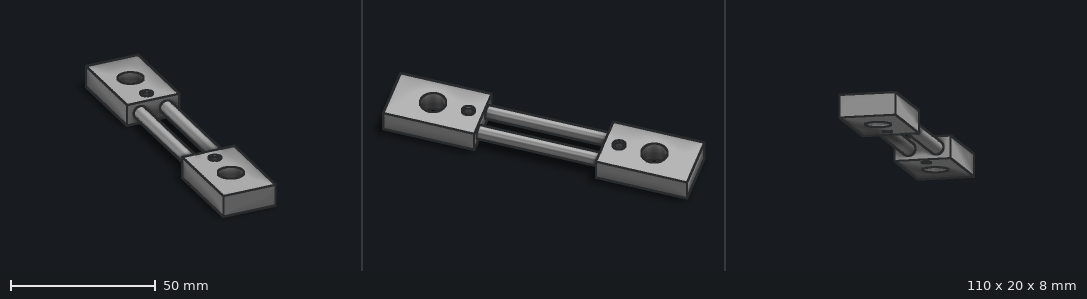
import cadquery as cq

length = 110.0
width = 20.0
thickness = 8.0

block_length = 33.0
rod_diameter = 5.0
rod_spacing = width / 2

main_hole_diameter = 9.0
main_hole_inset = 15.0
small_hole_diameter = 3.3
small_hole_inset = 27.7
chamfer_diameter = 4.5

block_center_x = (length - block_length) / 2
rod_length = length - 2 * block_length
chamfer_angle = 90


def end_block(side):
    """Drilled block at the -X end (side = -1) or the +X end (side = 1)."""
    main_offset = side * (block_length / 2 - main_hole_inset)
    small_offset = side * (block_length / 2 - small_hole_inset)
    block = cq.Workplane("XY").box(block_length, width, thickness)
    block = block.faces(">Z").workplane(origin=(main_offset, 0, 0)).hole(main_hole_diameter)
    block = block.faces(">Z").workplane(origin=(small_offset, 0, 0))
    block = block.cskHole(small_hole_diameter, chamfer_diameter, chamfer_angle)
    return block.translate((side * block_center_x, 0, 0))


def rod(y):
    """Round rod between the inner faces of the blocks."""
    plane = cq.Workplane("YZ").center(y, 0)
    return plane.circle(rod_diameter / 2).extrude(rod_length / 2, both=True)


result = end_block(-1).union(end_block(1))
for rod_side in (-1, 1):
    result = result.union(rod(rod_side * rod_spacing / 2))